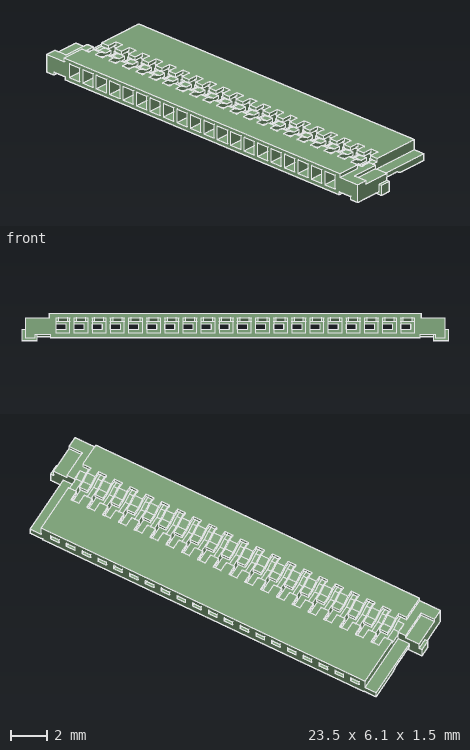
import cadquery as cq

LENGTH = 23.5
DEPTH = 6.1
HEIGHT = 1.5
FRONT_Y = -DEPTH / 2
REAR_Y = DEPTH / 2

CELL_COUNT = 20
CELL_ROW_SPAN = 18.99
CELL_PITCH = CELL_ROW_SPAN / (CELL_COUNT - 1)

BODY_BOTTOM_Z = 0.16
BODY_TOP_Z = 1.27
TRENCH_DEPTH = 0.2
TRENCH_FLOOR_Z = BODY_TOP_Z - TRENCH_DEPTH

BLOCK_HALF_WIDTH = 10.25
KEEL_HALF_WIDTH = 10.18
RAMP_REAR_Y = -0.75
RAMP_FRONT_Y = -1.22

CAVITY_WIDTH = 0.75
CAVITY_FLOOR_Z = 0.42
CAVITY_REAR_Y = 0.6
UNDER_RAMP_SHIFT = -0.07
PASSAGE_WIDTH = 0.55
PASSAGE_BOTTOM_Z = 0.63
PASSAGE_TOP_Z = 0.92

TRENCH_REAR_Y = 0.0
TRENCH_FRONT_Y = -1.6
TONGUE_WIDTH = 0.5
TONGUE_TIP_Y = -0.33

EAR_HALF_WIDTH = 11.56
EAR_REAR_Y = -0.65
EAR_LEG_INNER_X = 11.02
RELIEF_TOP_Z = 0.35
EAR_POCKET_INNER_X = 10.72
EAR_POCKET_FRONT_Y = -2.37

TAB_HALF_WIDTH = 10.95
TAB_TOP_Z = 0.63
TAB_REAR_BOTTOM_Z = 0.2
TAB_SLOPE_REAR_Y = 1.1
TAB_SLOPE_FRONT_Y = 0.85

FOOT_INNER_X = 10.9
FOOT_FRONT_Y = -1.32


def box(x0, x1, y0, y1, z0, z1):
    """Box between two opposite corners."""
    return cq.Workplane("XY").box(x1 - x0, y1 - y0, z1 - z0, centered=False).translate((x0, y0, z0))


def prism(yz_points, x0, x1):
    """Closed YZ outline extruded from x0 to x1."""
    return cq.Workplane("YZ").polyline(yz_points).close().extrude(x1 - x0).translate((x0, 0, 0))


def both_ends(right_end):
    """A solid at the +X end together with its mirror image at the -X end."""
    return right_end.union(right_end.mirror("YZ"))


def central_block():
    roof_outline = [
        (FRONT_Y, RELIEF_TOP_Z),
        (FRONT_Y, HEIGHT),
        (RAMP_FRONT_Y, HEIGHT),
        (RAMP_REAR_Y, BODY_TOP_Z),
        (REAR_Y, BODY_TOP_Z),
        (REAR_Y, RELIEF_TOP_Z),
    ]
    upper = prism(roof_outline, -BLOCK_HALF_WIDTH, BLOCK_HALF_WIDTH)
    keel = box(-KEEL_HALF_WIDTH, KEEL_HALF_WIDTH, FRONT_Y, REAR_Y, BODY_BOTTOM_Z, RELIEF_TOP_Z)
    return upper.union(keel)


def ear():
    bridge = box(KEEL_HALF_WIDTH, EAR_HALF_WIDTH, FRONT_Y, EAR_REAR_Y, RELIEF_TOP_Z, BODY_TOP_Z)
    leg = box(EAR_LEG_INNER_X, EAR_HALF_WIDTH, FRONT_Y, EAR_REAR_Y, BODY_BOTTOM_Z, RELIEF_TOP_Z)
    pocket = box(
        EAR_POCKET_INNER_X, EAR_HALF_WIDTH, EAR_POCKET_FRONT_Y, EAR_REAR_Y, TRENCH_FLOOR_Z, BODY_TOP_Z
    )
    return bridge.union(leg).cut(pocket)


def side_tab():
    outline = [
        (EAR_REAR_Y, TAB_TOP_Z),
        (REAR_Y, TAB_TOP_Z),
        (REAR_Y, TAB_REAR_BOTTOM_Z),
        (TAB_SLOPE_REAR_Y, TAB_REAR_BOTTOM_Z),
        (TAB_SLOPE_FRONT_Y, RELIEF_TOP_Z),
        (EAR_REAR_Y, RELIEF_TOP_Z),
    ]
    return prism(outline, KEEL_HALF_WIDTH, TAB_HALF_WIDTH)


def solder_foot():
    return box(FOOT_INNER_X, LENGTH / 2, FOOT_FRONT_Y, EAR_REAR_Y, 0, TAB_TOP_Z)


under_ramp = [
    (RAMP_REAR_Y + UNDER_RAMP_SHIFT, TRENCH_FLOOR_Z),
    (RAMP_FRONT_Y + UNDER_RAMP_SHIFT, BODY_TOP_Z),
]


def trench(rear_y, x0, x1):
    """Stretch of the trench between x0 and x1, open at the roof."""
    outline = [
        (rear_y, HEIGHT),
        (rear_y, TRENCH_FLOOR_Z),
        *under_ramp,
        (TRENCH_FRONT_Y, BODY_TOP_Z),
        (TRENCH_FRONT_Y, HEIGHT),
    ]
    return prism(outline, x0, x1)


def cell_opening(x):
    """Cavity, passage to the rear face and roof opening of the cell centred at x."""
    cavity_outline = [
        (FRONT_Y, CAVITY_FLOOR_Z),
        (CAVITY_REAR_Y, CAVITY_FLOOR_Z),
        (CAVITY_REAR_Y, TRENCH_FLOOR_Z),
        *under_ramp,
        (FRONT_Y, BODY_TOP_Z),
    ]
    left = x - CAVITY_WIDTH / 2
    cavity = prism(cavity_outline, left, left + CAVITY_WIDTH)
    passage = box(left, left + PASSAGE_WIDTH, CAVITY_REAR_Y, REAR_Y, PASSAGE_BOTTOM_Z, PASSAGE_TOP_Z)
    roof_opening = box(
        x - TONGUE_WIDTH / 2, x + TONGUE_WIDTH / 2, TONGUE_TIP_Y, CAVITY_REAR_Y, TRENCH_FLOOR_Z, BODY_TOP_Z
    )
    return cavity.union(passage).union(roof_opening)


cell_centres = [i * CELL_PITCH - CELL_ROW_SPAN / 2 for i in range(CELL_COUNT)]

trench_cut = trench(TRENCH_REAR_Y, -BLOCK_HALF_WIDTH, BLOCK_HALF_WIDTH)
for centre in cell_centres:
    tongue = trench(TONGUE_TIP_Y, centre - TONGUE_WIDTH / 2, centre + TONGUE_WIDTH / 2)
    trench_cut = trench_cut.cut(tongue)

block = central_block().cut(trench_cut)
for centre in cell_centres:
    block = block.cut(cell_opening(centre))

end_parts = ear().union(side_tab()).union(solder_foot())
end_parts = end_parts.cut(box(0, BLOCK_HALF_WIDTH, FRONT_Y, REAR_Y, RELIEF_TOP_Z, HEIGHT))
result = block.union(both_ends(end_parts))